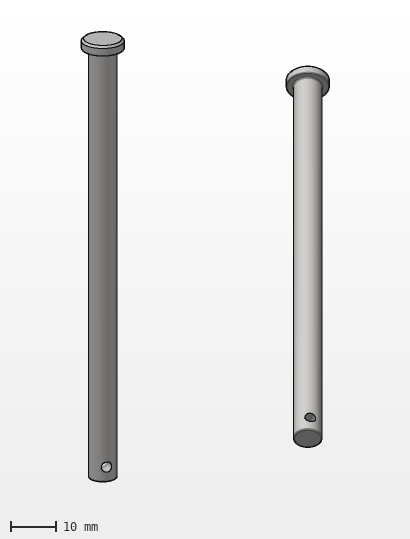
import cadquery as cq

total_length = 104.0
head_diameter = 9.6
head_height = 2.4
head_chamfer = 0.5
head_underside_radius = 0.2
shank_diameter = 6.3
end_radius = 0.26
neck_radius = 0.2
hole_diameter = 2.4
hole_height = 3.5

shank_length = total_length - head_height

shank = cq.Workplane("XY").circle(shank_diameter / 2).extrude(shank_length)
shank = shank.faces("<Z").edges().fillet(end_radius)

head = cq.Workplane("XY").workplane(offset=shank_length).circle(head_diameter / 2).extrude(head_height)
head = head.faces(">Z").chamfer(head_chamfer)
head = head.faces("<Z").edges().fillet(head_underside_radius)

smallest_circle = cq.selectors.RadiusNthSelector(0)
pin = shank.union(head)
pin = pin.faces("<Z[1]").edges(smallest_circle).fillet(neck_radius)

pin_hole = (
    cq.Workplane("YZ")
    .center(0, hole_height)
    .circle(hole_diameter / 2)
    .extrude(shank_diameter, both=True)
)

result = pin.cut(pin_hole)